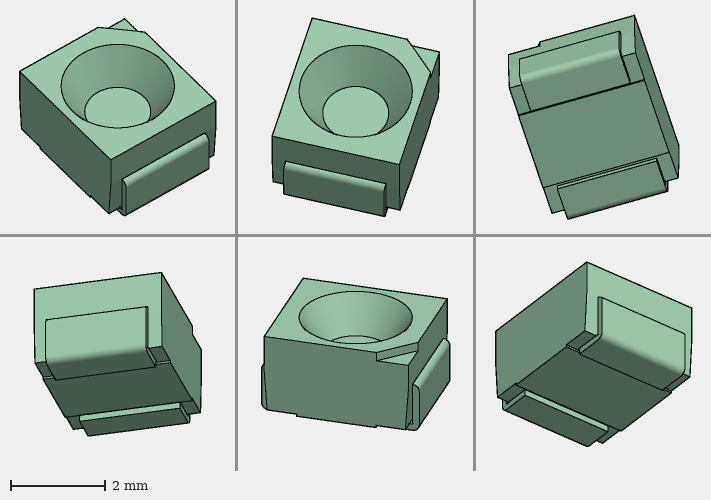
import cadquery as cq
import math

LENGTH = 3.5
WIDTH = 2.8
HEIGHT = 1.9

LEAD_THICKNESS = 0.15
LEAD_WIDTH = 2.205
LEAD_HEIGHT = 1.1
FOOT_LENGTH = 0.798

DRAFT_START = LEAD_HEIGHT - 0.005
DRAFT_INSET = 0.065
PAD_LENGTH = 1.76
PAD_BOTTOM = 0.1

CUP_TOP_DIAMETER = 2.4
CUP_FLOOR_DIAMETER = 1.4
CUP_DEPTH = 0.8

NOTCH_LEG = 0.707
NOTCH_DEPTH = 0.2

half_length = LENGTH / 2
half_width = WIDTH / 2
body_half_length = half_length - LEAD_THICKNESS
body_bottom = LEAD_THICKNESS


def make_body():
    """Drafted body with a shallow pad across the middle of its underside."""
    bottom_half_length = body_half_length - DRAFT_INSET
    pad_half_length = PAD_LENGTH / 2
    right_side = [
        (pad_half_length, PAD_BOTTOM),
        (pad_half_length, body_bottom),
        (bottom_half_length, body_bottom),
        (body_half_length, DRAFT_START),
        (body_half_length, HEIGHT),
    ]
    left_side = [(-x, z) for x, z in reversed(right_side)]
    return (
        cq.Workplane("XZ")
        .polyline(right_side + left_side)
        .close()
        .extrude(half_width, both=True)
    )


def make_lead():
    """L-shaped lead on the -X end, with its foot folded under the body."""
    radius = LEAD_THICKNESS
    mid_arc = radius * (1 - math.sqrt(0.5))
    foot_end = -half_length + FOOT_LENGTH
    return (
        cq.Workplane("XZ")
        .moveTo(foot_end, 0)
        .lineTo(-half_length + radius, 0)
        .threePointArc((-half_length + mid_arc, mid_arc), (-half_length, radius))
        .lineTo(-half_length, LEAD_HEIGHT - radius)
        .threePointArc(
            (-half_length + mid_arc, LEAD_HEIGHT - mid_arc),
            (-body_half_length, LEAD_HEIGHT),
        )
        .lineTo(-body_half_length, LEAD_THICKNESS)
        .lineTo(foot_end, LEAD_THICKNESS)
        .close()
        .extrude(LEAD_WIDTH / 2, both=True)
    )


def make_cup():
    """Conical reflector recess with a flat floor."""
    floor = HEIGHT - CUP_DEPTH
    return (
        cq.Workplane("XZ")
        .polyline([
            (0, floor),
            (CUP_FLOOR_DIAMETER / 2, floor),
            (CUP_TOP_DIAMETER / 2, HEIGHT),
            (0, HEIGHT),
        ])
        .close()
        .revolve(360, (0, 0), (0, 1))
    )


def make_notch():
    """Triangular step in the top corner at -X, +Y."""
    return (
        cq.Workplane("XY", origin=(-body_half_length, half_width, HEIGHT))
        .polyline([(0, 0), (NOTCH_LEG, 0), (0, -NOTCH_LEG)])
        .close()
        .extrude(-NOTCH_DEPTH)
    )


left_lead = make_lead()
right_lead = left_lead.mirror("YZ")
body = make_body().cut(make_cup()).cut(make_notch())
result = body.union(left_lead).union(right_lead)